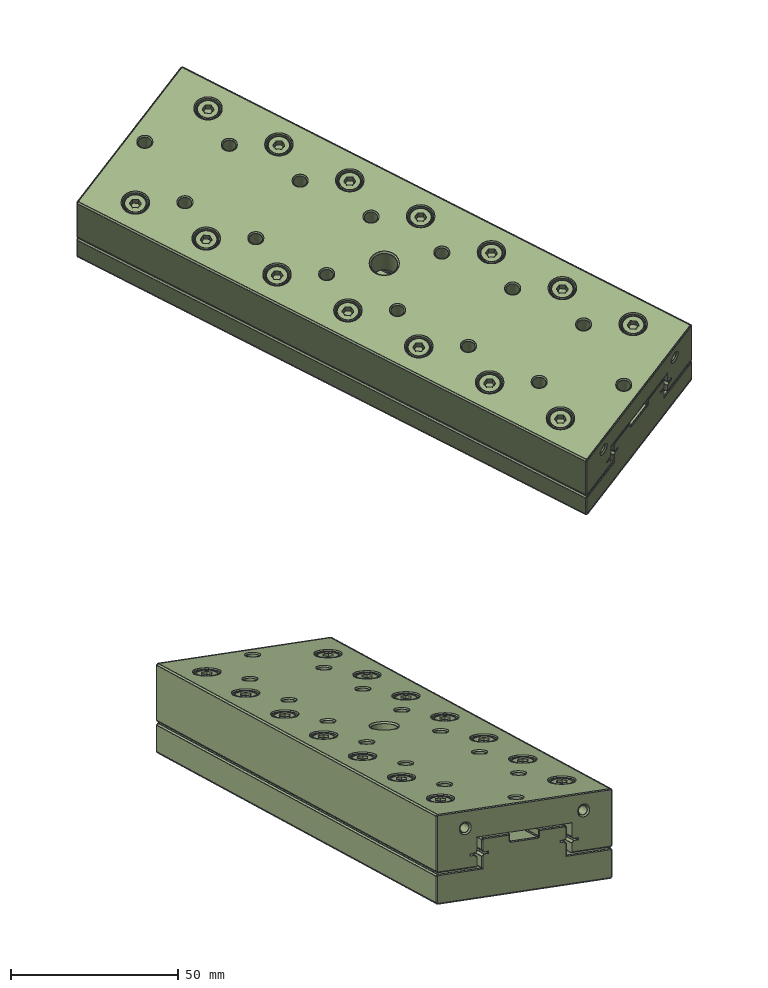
import cadquery as cq
import math

length = 180.0
width = 59.5
height = 28.0
edge_chamfer = 0.5
end_chamfer = 0.3

carriage_bottom = 9.8
channel_width = 32.0
channel_ceiling = 19.2

base_top = 9.3
rail_width = 28.6
rail_top = 18.6
rail_bevel = 0.5
recess_width = 9.7
recess_floor = 16.3
recess_bevel = 0.3

groove_height = 13.9
groove_depth = 1.0
relief_width = 0.6
relief_reach = 2.2

screw_pitch = 25.0
screw_columns = 7
screw_row_spacing = 41.0
counterbore_diameter = 7.8
counterbore_rim_diameter = 8.5
counterbore_depth = 4.0
head_diameter = 7.0
head_bevel = 0.3
head_sink = 0.4
socket_across_flats = 3.0
socket_depth = 2.0

tapped_hole_diameter = 4.0
tapped_hole_rim_diameter = 4.8
tapped_columns = 6
tapped_row_spacing = 25.0
end_tapped_spacing = 169.0
center_hole_diameter = 8.0
center_hole_rim_diameter = 9.0
end_hole_diameter = 3.0
end_hole_rim_diameter = 4.0
end_hole_depth = 8.0
end_hole_spacing = 40.0
end_hole_height = 22.5
drill_tip_angle = 118.0


def extrude_bar(right_half):
    """Full-length bar with chamfered ends, from the +Y half of its Y-Z outline mirrored across Y = 0."""
    outline = right_half + [(-y, z) for y, z in reversed(right_half)]
    bar = cq.Workplane("YZ").polyline(outline).close().extrude(length / 2, both=True)
    return bar.faces("<X or >X").edges().chamfer(end_chamfer)


def groove_pair(face, direction):
    """Mirrored cutters for a V-groove and relief slot, going outward (1) or inward (-1) from a side face."""
    half_slot = relief_width / 2
    slot_start = face + direction * (groove_depth - half_slot)
    slot_end = face + direction * relief_reach
    outline = [
        (face, groove_height + groove_depth),
        (slot_start, groove_height + half_slot),
        (slot_end, groove_height + half_slot),
        (slot_end, groove_height - half_slot),
        (slot_start, groove_height - half_slot),
        (face, groove_height - groove_depth),
    ]
    groove = cq.Workplane("YZ").polyline(outline).close().extrude(length / 2, both=True)
    return groove.union(groove.mirror("XZ"))


def countersunk_hole(diameter, rim_diameter, depth):
    """Cutter pointing down from Z = 0: a round hole with a 45 degree rim chamfer."""
    radius = diameter / 2
    rim_radius = rim_diameter / 2
    profile = [(0, 0), (rim_radius, 0), (radius, radius - rim_radius), (radius, -depth), (0, -depth)]
    return cq.Workplane("XZ").polyline(profile).close().revolve(360, (0, 0), (0, 1))


def blind_hole(diameter, rim_diameter, depth):
    """Cutter pointing down from Z = 0: a chamfered round hole that ends in a drill tip."""
    radius = diameter / 2
    tip_length = radius / math.tan(math.radians(drill_tip_angle / 2))
    tip = cq.Solid.makeCone(radius, 0, tip_length, cq.Vector(0, 0, -depth), cq.Vector(0, 0, -1))
    return countersunk_hole(diameter, rim_diameter, depth).union(cq.Workplane(tip))


def row_positions(count, pitch):
    """X positions of evenly spaced features, centred on X = 0."""
    return [(i - (count - 1) / 2) * pitch for i in range(count)]


def grid_positions(columns, row_spacing):
    """Plan positions of two mirrored rows at the screw pitch."""
    return [(x, side * row_spacing / 2) for x in row_positions(columns, screw_pitch) for side in (-1, 1)]


def screw_cutter():
    """Ring gap around a sunk screw head, together with the head's bevel and hexagon socket."""
    bore = countersunk_hole(counterbore_diameter, counterbore_rim_diameter, counterbore_depth)
    head = cq.Workplane("XY").workplane(offset=-counterbore_depth)
    head = head.circle(head_diameter / 2).extrude(counterbore_depth - head_sink)
    head = head.faces(">Z").chamfer(head_bevel)
    socket_corners = socket_across_flats / math.cos(math.pi / 6)
    socket = cq.Workplane("XY").polygon(6, socket_corners).extrude(-head_sink - socket_depth)
    socket = socket.rotate((0, 0, 0), (0, 0, 1), 90)
    return bore.cut(head).union(socket)


def make_carriage():
    """Upper body: channelled block with screw heads, tapped holes, a centre hole and end holes."""
    half = width / 2
    c = edge_chamfer
    right_half = [
        (half - c, height),
        (half, height - c),
        (half, carriage_bottom + c),
        (half - c, carriage_bottom),
    ]
    channel_height = channel_ceiling - carriage_bottom
    channel = cq.Workplane("XY").box(length, channel_width, channel_height, centered=(True, True, False))
    body = extrude_bar(right_half).cut(channel.translate((0, 0, carriage_bottom)))
    body = body.cut(groove_pair(channel_width / 2, 1))

    screw = screw_cutter()
    for x, y in grid_positions(screw_columns, screw_row_spacing):
        body = body.cut(screw.translate((x, y, height)))

    tapped_positions = grid_positions(tapped_columns, tapped_row_spacing)
    tapped_positions += [(x, 0) for x in row_positions(2, end_tapped_spacing)]
    tapped = countersunk_hole(tapped_hole_diameter, tapped_hole_rim_diameter, height - channel_ceiling)
    for x, y in tapped_positions:
        body = body.cut(tapped.translate((x, y, height)))

    center = countersunk_hole(center_hole_diameter, center_hole_rim_diameter, height - channel_ceiling)
    body = body.cut(center.translate((0, 0, height)))

    end_hole = blind_hole(end_hole_diameter, end_hole_rim_diameter, end_hole_depth)
    for end in (-1, 1):
        facing_end = end_hole.rotate((0, 0, 0), (0, 1, 0), 90 * end)
        for side in (-1, 1):
            mouth = (end * length / 2, side * end_hole_spacing / 2, end_hole_height)
            body = body.cut(facing_end.translate(mouth))
    return body


def make_base():
    """Lower body: flat plate with a raised, grooved rail that has a shallow recess along its top."""
    half = width / 2
    c = edge_chamfer
    rail_half = rail_width / 2
    recess_half = recess_width / 2
    right_half = [
        (recess_half - recess_bevel, recess_floor),
        (recess_half, recess_floor + recess_bevel),
        (recess_half, rail_top),
        (rail_half - rail_bevel, rail_top),
        (rail_half, rail_top - rail_bevel),
        (rail_half, base_top),
        (half - c, base_top),
        (half, base_top - c),
        (half, c),
        (half - c, 0),
    ]
    return extrude_bar(right_half).cut(groove_pair(rail_half, -1))


carriage = make_carriage()
base = make_base()
result = cq.Compound.makeCompound([carriage.val(), base.val()])